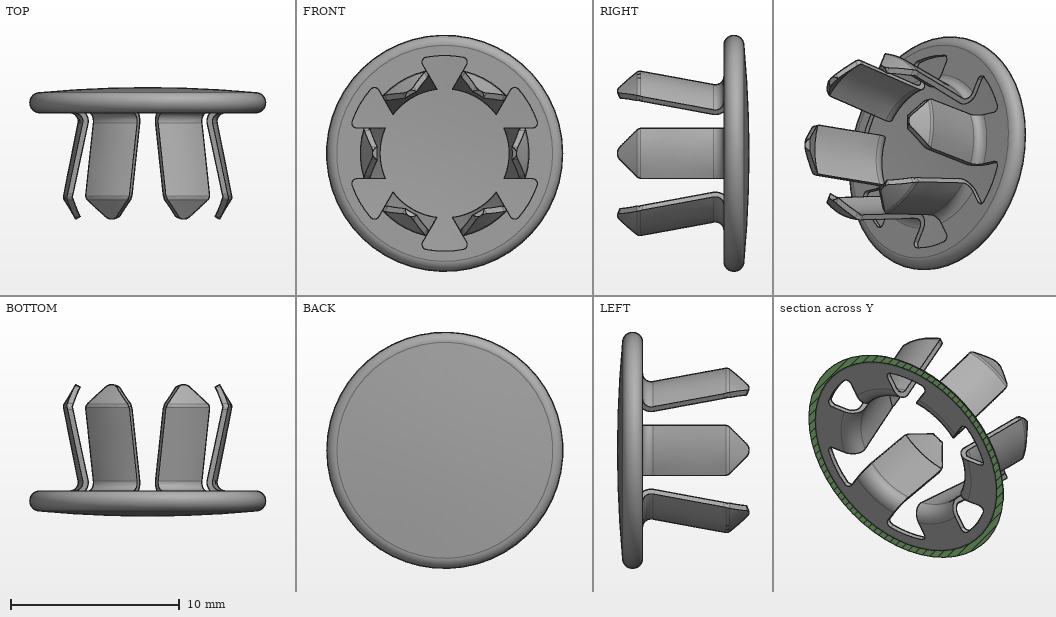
import cadquery as cq
import math


sheet = 0.3

head_radius = 7.0
rim_radius = 0.6
dome_rise = 0.3
rim_centre = head_radius - rim_radius
rim_height = 2 * rim_radius

leg_count = 6
leg_width = 3.0
leg_length = 6.3
bend_radius = 0.5
waist_radius = 4.12
bend_centre = waist_radius + bend_radius
knee_depth = 5.05
lean_angle = math.radians(11.3)
tip_angle = math.radians(31)

tip_corner_depth = 5.03
tip_taper = math.radians(45)
tip_rounding = 0.5

opening_radius = 5.8
opening_rounding = 0.3


def turned(profile):
    """Revolve a closed (radius, y) profile about the Y axis."""
    return profile.close().revolve(360, (0, 0, 0), (0, 1, 0))


def dome_point(offset):
    """A point of the dome halfway out to the rim, lowered by offset."""
    dome_radius = (rim_centre**2 + dome_rise**2) / (2 * dome_rise)
    halfway = rim_centre / 2
    drop = dome_radius - math.sqrt(dome_radius**2 - halfway**2)
    return (halfway, rim_height + dome_rise - drop - offset)


def shell_profile(offset):
    """Half section of the head, shrunk inward by offset; the back is flat and the front domed."""
    curl = rim_radius - offset
    half_turn = rim_centre + curl
    return (
        cq.Workplane("XY")
        .moveTo(0, offset)
        .lineTo(rim_centre, offset)
        .threePointArc((half_turn, rim_radius), (rim_centre, rim_height - offset))
        .threePointArc(dome_point(offset), (0, rim_height + dome_rise - offset))
    )


def make_head():
    """Domed disc with a curled rim and a hollow between dome and back flange."""
    return turned(shell_profile(0)).cut(turned(shell_profile(sheet)))


def make_leg_ring():
    """Leg section turned all the way round: bend, outward lean, knee and inward tip.

    The knee is rounded outside by one sheet thickness, which leaves its inside sharp.
    """
    bend_middle = math.radians(-45)
    inner_bend = bend_radius + sheet
    cos_lean = math.cos(lean_angle)
    sin_lean = math.sin(lean_angle)
    cos_tip = math.cos(tip_angle)
    sin_tip = math.sin(tip_angle)

    def bend_point(radius, angle):
        return (bend_centre - radius * math.cos(angle), -bend_radius - radius * math.sin(angle))

    outer_start = bend_point(bend_radius, lean_angle)
    inner_start = bend_point(inner_bend, lean_angle)
    knee_drop = knee_depth + outer_start[1]
    knee = (outer_start[0] + knee_drop * math.tan(lean_angle), -knee_depth)
    tip_drop = leg_length - knee_depth
    tip_outer = (knee[0] - tip_drop * math.tan(tip_angle), -leg_length)
    tip_inner = (tip_outer[0] - sheet * cos_tip, tip_outer[1] + sheet * sin_tip)

    knee_tangent = sheet * math.tan((lean_angle + tip_angle) / 2)
    knee_start = (knee[0] - knee_tangent * sin_lean, knee[1] + knee_tangent * cos_lean)
    knee_end = (knee[0] - knee_tangent * sin_tip, knee[1] - knee_tangent * cos_tip)
    knee_centre = (knee_start[0] - sheet * cos_lean, knee_start[1] - sheet * sin_lean)
    mid_angle = (lean_angle - tip_angle) / 2
    knee_middle = (
        knee_centre[0] + sheet * math.cos(mid_angle),
        knee_centre[1] + sheet * math.sin(mid_angle),
    )

    return turned(
        cq.Workplane("XY")
        .moveTo(bend_centre, 0)
        .threePointArc(bend_point(bend_radius, bend_middle), outer_start)
        .lineTo(*knee_start)
        .threePointArc(knee_middle, knee_end)
        .lineTo(*tip_outer)
        .lineTo(*tip_inner)
        .lineTo(*knee_centre)
        .lineTo(*inner_start)
        .threePointArc(bend_point(inner_bend, bend_middle), (bend_centre, sheet))
    )


def make_leg_block():
    """Radial block with the pointed outline that one leg keeps of the turned ring."""
    half_width = leg_width / 2
    end_half_width = half_width - (leg_length - tip_corner_depth) * math.tan(tip_taper)
    return (
        cq.Workplane("YZ")
        .moveTo(sheet, -half_width)
        .lineTo(-tip_corner_depth, -half_width)
        .lineTo(-leg_length, -end_half_width)
        .lineTo(-leg_length, end_half_width)
        .lineTo(-tip_corner_depth, half_width)
        .lineTo(sheet, half_width)
        .close()
        .extrude(opening_radius)
        .edges("|X and (not >Y)")
        .fillet(tip_rounding)
    )


def make_flange_opening():
    """Cutter for the round centre of the flange and the slots between the legs."""
    sectors = cq.Workplane("XZ").circle(opening_radius).extrude(-sheet)
    for index in range(leg_count // 2):
        spoke = cq.Workplane("XZ").rect(2 * opening_radius, leg_width).extrude(-sheet)
        sectors = sectors.cut(turn_to(spoke, index))
    outer_corners = [
        edge for edge in sectors.edges("|Y").vals()
        if math.hypot(edge.Center().x, edge.Center().z) > bend_centre
    ]
    slots = sectors.newObject(outer_corners).fillet(opening_rounding)
    centre = cq.Workplane("XZ").circle(bend_centre).extrude(-sheet)
    return slots.union(centre)


def turn_to(body, index):
    """Turn a body about Y to its place around the axis."""
    return body.rotate((0, 0, 0), (0, 1, 0), index * 360 / leg_count)


leg = make_leg_ring().intersect(make_leg_block())
result = make_head().cut(make_flange_opening())
for place in range(leg_count):
    result = result.union(turn_to(leg, place))